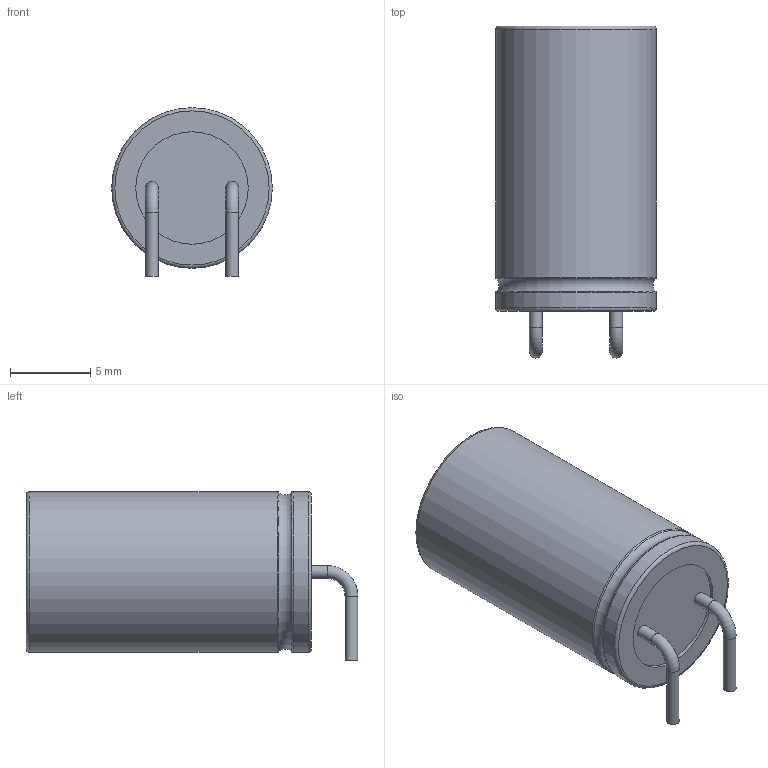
import cadquery as cq
import math

can_diameter = 10.0
can_length = 17.75
rim_fillet = 0.2

groove_position = 1.625
groove_radius = 0.55
groove_depth = 0.2
shoulder_radius = 0.15

recess_diameter = 7.0
recess_depth = 0.2

lead_diameter = 0.8
lead_pitch = 5.0
lead_straight = 1.0
lead_bend_radius = 1.5
lead_drop = 5.5

can_radius = can_diameter / 2


def make_can():
    """Revolve the can profile, drawn as (radius, Y), around the Y axis."""
    arc_span = groove_radius + shoulder_radius
    tilt = math.acos(1 - groove_depth / arc_span)
    half_opening = arc_span * math.sin(tilt)
    groove_half_width = groove_radius * math.sin(tilt)
    floor_radius = can_radius - groove_depth
    meet_radius = can_radius - shoulder_radius * (1 - math.cos(tilt))
    shoulder_mid_radius = can_radius - shoulder_radius * (1 - math.cos(tilt / 2))
    shoulder_mid_offset = half_opening - shoulder_radius * math.sin(tilt / 2)

    profile = (
        cq.Workplane("XY")
        .lineTo(can_radius, 0)
        .lineTo(can_radius, groove_position - half_opening)
        .threePointArc(
            (shoulder_mid_radius, groove_position - shoulder_mid_offset),
            (meet_radius, groove_position - groove_half_width),
        )
        .threePointArc(
            (floor_radius, groove_position),
            (meet_radius, groove_position + groove_half_width),
        )
        .threePointArc(
            (shoulder_mid_radius, groove_position + shoulder_mid_offset),
            (can_radius, groove_position + half_opening),
        )
        .lineTo(can_radius, can_length)
        .lineTo(0, can_length)
        .close()
    )
    can = profile.revolve(360, (0, 0, 0), (0, 1, 0))
    return can.faces("<Y or >Y").edges().fillet(rim_fillet)


def make_recess():
    """Disc to remove from the lead end."""
    return cq.Workplane("XZ").circle(recess_diameter / 2).extrude(-recess_depth)


def make_lead(x):
    """Wire that leaves the recess floor along -Y and bends down to -Z."""
    bend_start = -lead_straight
    bend_end = bend_start - lead_bend_radius
    bend_reach = lead_bend_radius * math.sin(math.pi / 4)
    bend_middle = (bend_start - bend_reach, bend_reach - lead_bend_radius)
    path = (
        cq.Workplane("YZ", origin=(x, 0, 0))
        .moveTo(recess_depth, 0)
        .lineTo(bend_start, 0)
        .threePointArc(bend_middle, (bend_end, -lead_bend_radius))
        .lineTo(bend_end, -lead_drop)
    )
    section = cq.Workplane("XZ", origin=(x, recess_depth, 0)).circle(lead_diameter / 2)
    return section.sweep(path)


result = make_can().cut(make_recess())
for side in (-1, 1):
    result = result.union(make_lead(side * lead_pitch / 2))